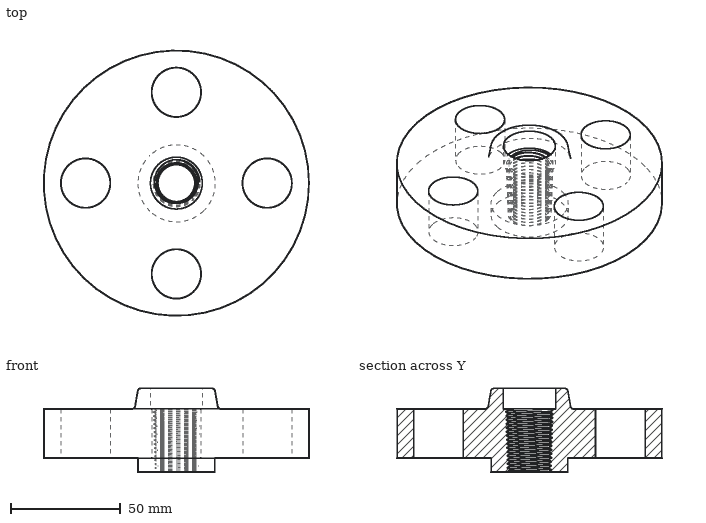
import cadquery as cq
import math

flange_diameter = 120.65
flange_thickness = 22.35

raised_face_diameter = 35.1
raised_face_height = 6.35

overall_height = 38.1
hub_base_diameter = 38.1
hub_taper_angle = 10.0
hub_fillet = 1.5

bolt_hole_count = 4
bolt_hole_diameter = 22.35
bolt_circle_diameter = 82.55

counterbore_diameter = 23.6
crest_diameter_at_top = 18.5
inch = 25.4
threads_per_inch = 14
thread_pitch = inch / threads_per_inch
depth_to_pitch = 0.8
thread_depth = depth_to_pitch * thread_pitch
thread_half_angle = 30.0
thread_diameter_taper = 1 / 16
thread_wall_angle = math.degrees(math.atan(thread_diameter_taper / 2))
groove_overlap = 0.15
groove_run_out_turns = 1
groove_top_angle = 90.0

flange_bottom = raised_face_height
flange_top = flange_bottom + flange_thickness
hub_height = overall_height - flange_top
counterbore_floor = flange_top


def crest_radius(z):
    """Radius of the tapered thread crests at height z."""
    drop = counterbore_floor - z
    return (crest_diameter_at_top - drop * thread_diameter_taper) / 2


def make_body():
    """Disc, raised face and filleted hub, turned about Z."""
    hub_base_radius = hub_base_diameter / 2
    hub_top_radius = hub_base_radius - hub_height * math.tan(math.radians(hub_taper_angle))
    profile = (
        cq.Workplane("XZ")
        .moveTo(0, 0)
        .lineTo(raised_face_diameter / 2, 0)
        .lineTo(raised_face_diameter / 2, flange_bottom)
        .lineTo(flange_diameter / 2, flange_bottom)
        .lineTo(flange_diameter / 2, flange_top)
        .lineTo(hub_base_radius, flange_top)
        .lineTo(hub_top_radius, overall_height)
        .lineTo(0, overall_height)
        .close()
    )
    body = profile.revolve(360, (0, 0, 0), (0, 1, 0))
    hub_side = body.faces("%CONE")
    return body.newObject(hub_side.edges("%CIRCLE").vals()).fillet(hub_fillet)


def make_bolt_holes():
    """Bolt holes through the disc, on the X and Y axes."""
    return (
        cq.Workplane("XY")
        .workplane(offset=flange_bottom)
        .polarArray(bolt_circle_diameter / 2, 0, 360, bolt_hole_count)
        .circle(bolt_hole_diameter / 2)
        .extrude(flange_thickness)
    )


def make_bore():
    """Counterbore and the tapered bore that carries the thread crests."""
    return (
        cq.Workplane("XZ")
        .moveTo(0, 0)
        .lineTo(crest_radius(0), 0)
        .lineTo(crest_radius(counterbore_floor), counterbore_floor)
        .lineTo(counterbore_diameter / 2, counterbore_floor)
        .lineTo(counterbore_diameter / 2, overall_height)
        .lineTo(0, overall_height)
        .close()
        .revolve(360, (0, 0, 0), (0, 1, 0))
    )


def make_thread_groove():
    """Right-hand V groove on a cone; its root meets the counterbore floor on +Y."""
    turns = math.ceil(counterbore_floor / thread_pitch) + 2 * groove_run_out_turns
    groove_height = turns * thread_pitch
    groove_top = counterbore_floor + groove_run_out_turns * thread_pitch
    start_z = groove_top - groove_height
    start_radius = crest_radius(start_z)

    half_width = (thread_depth + groove_overlap) * math.tan(math.radians(thread_half_angle))
    section = (
        cq.Workplane("XZ")
        .moveTo(start_radius - groove_overlap, -half_width)
        .lineTo(start_radius + thread_depth, 0)
        .lineTo(start_radius - groove_overlap, half_width)
        .close()
    )
    helix = cq.Wire.makeHelix(thread_pitch, groove_height, start_radius, angle=thread_wall_angle)
    groove = section.sweep(cq.Workplane(obj=helix), isFrenet=True)
    return groove.rotate((0, 0, 0), (0, 0, 1), groove_top_angle).translate((0, 0, start_z))


result = make_body().cut(make_bolt_holes()).cut(make_bore()).cut(make_thread_groove())